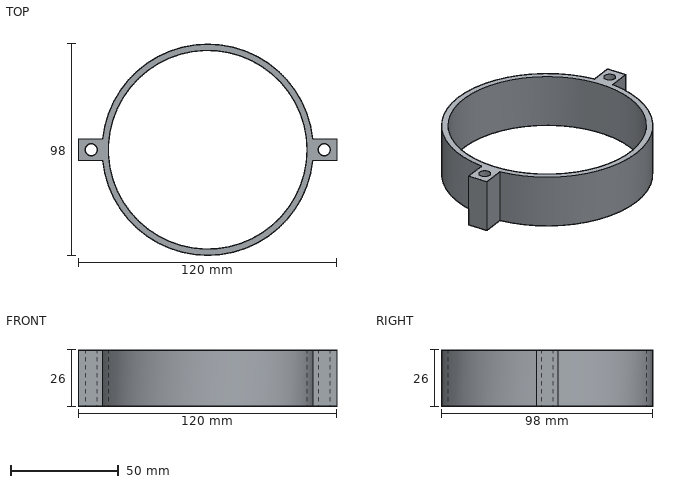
import cadquery as cq

height = 26.0
inner_diameter = 92.0
wall = 3.0
overall_length = 120.0
lug_width = 10.0
hole_diameter = 5.5
hole_spacing = 108.0

outer_diameter = inner_diameter + 2 * wall


def ring_with_lugs():
    """Full-height ring with one rectangular lug at each end of the X axis."""
    disc = cq.Workplane("XY").circle(outer_diameter / 2).extrude(height)
    lug_bar = cq.Workplane("XY").rect(overall_length, lug_width).extrude(height)
    bore = cq.Workplane("XY").circle(inner_diameter / 2).extrude(height)
    return disc.union(lug_bar).cut(bore)


def lug_holes():
    """Vertical screw holes passing through both lugs."""
    centres = [(side * hole_spacing / 2, 0) for side in (-1, 1)]
    return cq.Workplane("XY").pushPoints(centres).circle(hole_diameter / 2).extrude(height)


result = ring_with_lugs().cut(lug_holes())